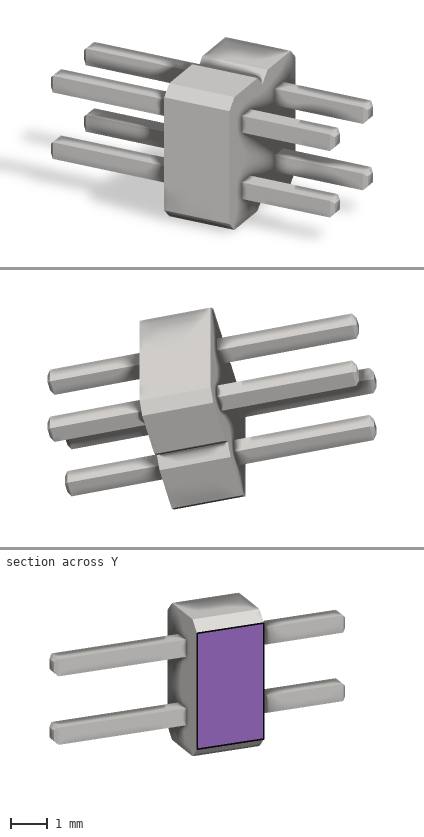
import cadquery as cq

pitch = 2.0
rows = 2
columns = 2

body_length = 2.0
body_height = rows * pitch
corner_chamfer = 0.3

pin_side = 0.5
pin_reach_left = 3.9
pin_reach_right = 2.8
tip_length = 0.1
tip_inset = 0.1


def cell_column(y_center):
    """One column of the body: a block with its four long edges chamfered."""
    return (
        cq.Workplane("XY")
        .box(body_length, pitch, body_height)
        .edges("|X")
        .chamfer(corner_chamfer)
        .translate((0, y_center, 0))
    )


def pin_tip(x_base, direction, y_center, z_center):
    """Tapered pin end, narrowing from x_base in the given X direction."""
    end_side = pin_side - 2 * tip_inset
    return (
        cq.Workplane("YZ", origin=(x_base, y_center, z_center))
        .rect(pin_side, pin_side)
        .workplane(offset=direction * tip_length)
        .rect(end_side, end_side)
        .loft(ruled=True)
    )


def pin(y_center, z_center):
    """Square pin through the body with a tapered tip at each end."""
    x_start = -body_length / 2 - pin_reach_left + tip_length
    x_end = body_length / 2 + pin_reach_right - tip_length
    shaft = (
        cq.Workplane("YZ", origin=(x_start, y_center, z_center))
        .rect(pin_side, pin_side)
        .extrude(x_end - x_start)
    )
    left_tip = pin_tip(x_start, -1, y_center, z_center)
    right_tip = pin_tip(x_end, 1, y_center, z_center)
    return shaft.union(left_tip).union(right_tip)


def centered_positions(count):
    """Positions spaced one pitch apart, centered on zero."""
    return [(index - (count - 1) / 2) * pitch for index in range(count)]


result = cq.Workplane("XY")
for y in centered_positions(columns):
    result = result.union(cell_column(y))

for y in centered_positions(columns):
    for z in centered_positions(rows):
        result = result.union(pin(y, z))